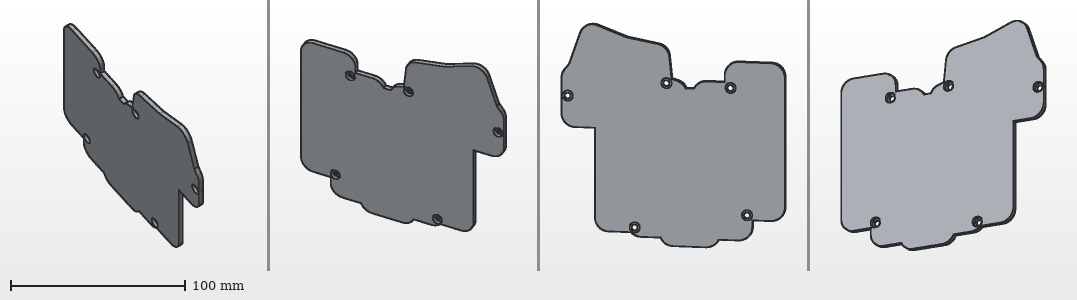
import cadquery as cq

width = 130.8
thickness = 3.0
corner_radius = 8.0

left_bottom = 16.7
left_top = 108.8
lobe_bottom = 4.7
right_bottom = 7.2
notch_floor = 92.2
shelf_top = 96.8
wing_bottom = 67.4

left_tab_right = 35.2
shelf_right = 54.2
lobe_left = 19.1
lobe_right = 92.1
tab_left = 38.0
tab_right = 73.4
body_right = 111.2
knob_left = 57.3

wing_root = (66.3, 97.6)
wing_shoulder = (68.3, 116.5)
wing_bend = (92.6, 120.9)
wing_peak = (117.3, 130.0)
wing_knee = (126.4, 104.1)
wing_side_top = (width, 98.8)
knob_slope = 0.29

hole_diameter = 3.4
counterbore_diameter = 6.0
counterbore_depth = 2.5
hole_centers = [(31.8, 93.5), (69.3, 95.0), (127.1, 85.5), (22.1, 19.6), (87.9, 10.1)]


def plate(points, rounded):
    """Flat plate from outline points, with the listed corners rounded."""
    solid = cq.Workplane("XZ").polyline(points).close().extrude(-thickness)
    for x, z in rounded:
        corner = cq.selectors.NearestToPointSelector((x, thickness / 2, z))
        solid = solid.edges("|Y").edges(corner).fillet(corner_radius)
    return solid


def block(left, right, bottom, top, rounded):
    """Rectangular plate; rounded names its rounded corners by side, e.g. "BL"."""
    corners = {
        "BL": (left, bottom),
        "BR": (right, bottom),
        "TR": (right, top),
        "TL": (left, top),
    }
    return plate(list(corners.values()), [corners[name] for name in rounded])


def wing():
    """Upper right lobe with its sloped edges."""
    side_bottom = (width, wing_bottom)
    outline = [
        wing_root,
        wing_shoulder,
        wing_bend,
        wing_peak,
        wing_knee,
        wing_side_top,
        side_bottom,
        (wing_root[0], wing_bottom),
    ]
    return plate(outline, [wing_shoulder, wing_peak, wing_side_top, side_bottom])


def knob():
    """Rounded shoulder between the notch and the foot of the wing."""
    top_left = (knob_left, wing_root[1] - knob_slope * (wing_root[0] - knob_left))
    outline = [
        top_left,
        wing_root,
        (wing_root[0], wing_bottom),
        (knob_left, wing_bottom),
    ]
    return plate(outline, [top_left])


body = block(tab_right, body_right, right_bottom, wing_bottom, ["BR"])
body = body.union(block(lobe_left, lobe_right, lobe_bottom, wing_bottom, ["BL", "BR"]))
body = body.union(block(0, left_tab_right, left_bottom, left_top, ["BL", "TL", "TR"]))
body = body.union(block(tab_left, tab_right, 0, wing_bottom, ["BL", "BR"]))
body = body.union(block(lobe_left, shelf_right, wing_bottom, shelf_top, ["TR"]))
body = body.union(block(lobe_left, wing_root[0], wing_bottom, notch_floor, []))
body = body.union(knob()).union(wing())

front = cq.Workplane("XZ").pushPoints(hole_centers)
holes = front.circle(hole_diameter / 2).extrude(-thickness)
counterbores = front.circle(counterbore_diameter / 2).extrude(-counterbore_depth)

result = body.cut(holes).cut(counterbores).clean()